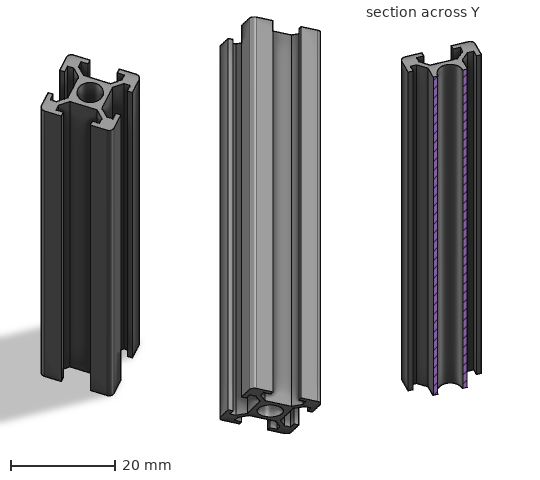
import cadquery as cq

length = 80.0
width = 15.0
corner_radius = 1.0
slot_opening = 6.0
lip_thickness = 1.0
pocket_width = 9.0
core_width = 7.0
bore_diameter = 5.0
web_offset = 0.7

outer_face = width / 2
lip_back = outer_face - lip_thickness
half_opening = slot_opening / 2
half_pocket = pocket_width / 2
core_face = core_width / 2


def t_slot():
    """T-slot cutter on the +Y side, with flanks running parallel to the diagonals."""
    right_side = [
        (core_face - web_offset, core_face),
        (half_pocket, half_pocket + web_offset),
        (half_pocket, lip_back),
        (half_opening, lip_back),
        (half_opening, outer_face),
    ]
    left_side = [(-x, y) for x, y in reversed(right_side)]
    return cq.Workplane("XY").polyline(right_side + left_side).close().extrude(length)


profile = cq.Workplane("XY").rect(width, width).extrude(length)
profile = profile.edges("|Z").fillet(corner_radius)

for angle in (0, 90, 180, 270):
    profile = profile.cut(t_slot().rotate((0, 0, 0), (0, 0, 1), angle))

bore = cq.Workplane("XY").circle(bore_diameter / 2).extrude(length)
result = profile.cut(bore)